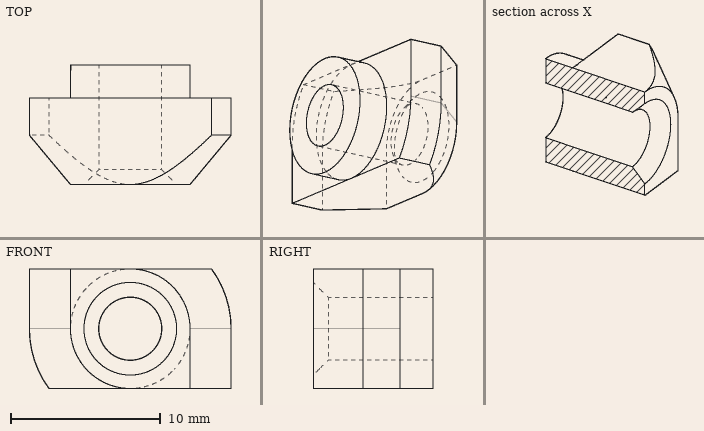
import cadquery as cq


head_length = 13.5
head_height = 8.0
front_face_length = 8.0
head_depth = 5.8
straight_depth = 2.5
boss_diameter = 8.0
boss_length = 2.2
bore_diameter = 4.2
countersink_diameter = 6.2
countersink_depth = 1.0

half_length = head_length / 2
half_height = head_height / 2
front_half_length = front_face_length / 2
taper_depth = head_depth - straight_depth
total_depth = head_depth + boss_length


def half_profile():
    """Half section of the head in the XY plane, on the +X side of the bore axis."""
    return (
        cq.Workplane("XY")
        .moveTo(0, 0)
        .lineTo(front_half_length, 0)
        .lineTo(half_length, taper_depth)
        .lineTo(half_length, head_depth)
        .lineTo(0, head_depth)
        .close()
    )


def square_quadrant():
    """Flat-sided quarter of the head, at +X and -Z."""
    return half_profile().extrude(-half_height)


def round_quadrant():
    """Cone and cylinder quarter of the head at +X and +Z, cut flat at the head height."""
    turned = half_profile().revolve(360, (0, 0, 0), (0, 1, 0))
    quarter_block = cq.Workplane("XY").box(
        half_length, head_depth, half_height, centered=False
    )
    return turned.intersect(quarter_block)


def make_head():
    """Two identical halves, the second turned half a turn about the bore axis."""
    half_head = square_quadrant().union(round_quadrant())
    other_half = half_head.rotate((0, 0, 0), (0, 1, 0), 180)
    return half_head.union(other_half).clean()


def make_boss():
    """Round boss on the back of the head."""
    back_plane = cq.Workplane("XZ", origin=(0, head_depth, 0))
    return back_plane.circle(boss_diameter / 2).extrude(-boss_length)


def make_bore():
    """Through bore with a conical countersink at the front face."""
    bore_radius = bore_diameter / 2
    return (
        cq.Workplane("XY")
        .moveTo(0, 0)
        .lineTo(countersink_diameter / 2, 0)
        .lineTo(bore_radius, countersink_depth)
        .lineTo(bore_radius, total_depth)
        .lineTo(0, total_depth)
        .close()
        .revolve(360, (0, 0, 0), (0, 1, 0))
    )


result = make_head().union(make_boss()).cut(make_bore())